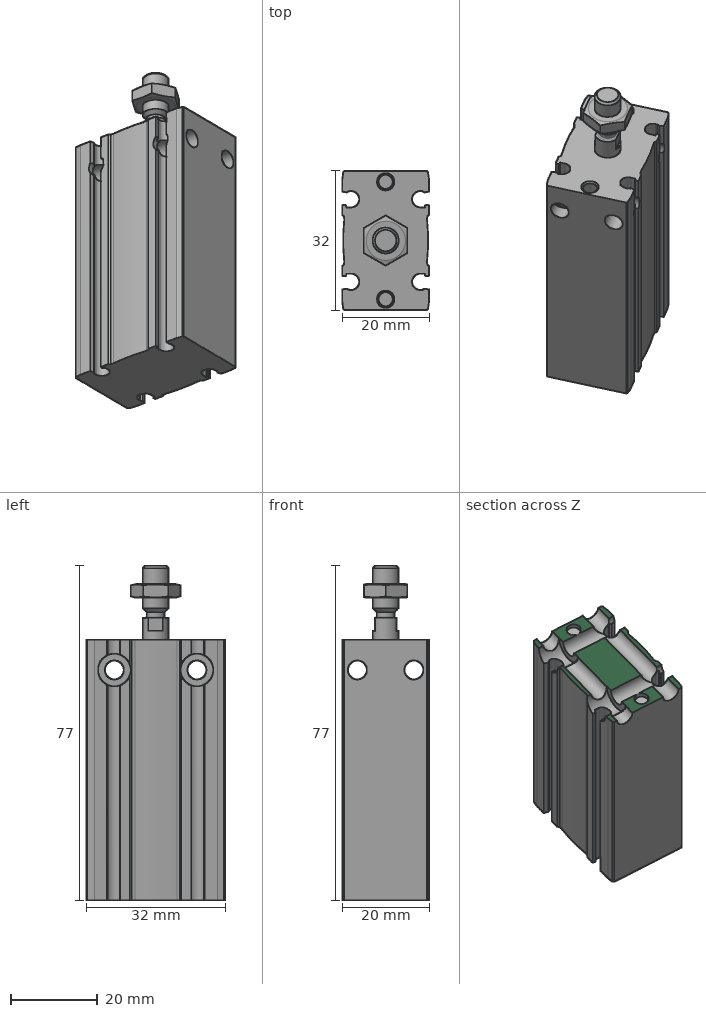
import cadquery as cq
import math

WIDTH = 20.0
DEPTH = 32.0
HEIGHT = 60.0

END_FACE_HALF_WIDTH = 9.5
CORNER_CHAMFER_X = 0.27
CORNER_CHAMFER_Y = 0.3
TAPER_END_Y = 14.15

RIDGE_EDGE_Y = 5.9
RIDGE_FOOT_Y = 5.5
RIDGE_FOOT_X = 9.6
CROWN_EDGE_Y = 4.85
CROWN_EDGE_X = 9.55
CROWN_MIDDLE_X = 9.8

SLOT_Y = 9.5
SLOT_CHANNEL_DIAMETER = 3.7
SLOT_DEPTH = 3.9
INNER_LIP = 0.95
OUTER_LIP = 1.2
OUTER_LIP_BACK = 1.65
MOUTH_INNER_Y = 8.15
MOUTH_OUTER_Y = 11.25
THROAT_INNER_Y = 8.25
THROAT_OUTER_Y = 11.0

CROSS_HOLE_Z = HEIGHT - 7.0
CROSS_HOLE_DIAMETER = 4.3
END_HOLE_X = 6.5
COUNTERBORE_DIAMETER = 7.5
COUNTERBORE_DEPTH = 5.7

TAPPED_HOLE_Y = 13.5
TAPPED_HOLE_DIAMETER = 3.24
TAPPED_HOLE_MOUTH_DIAMETER = 4.0
TAPPED_HOLE_DEPTH = 8.0
COUNTERSINK_ANGLE = 90.0

ROD_DIAMETER = 6.0
ROD_LENGTH = 17.0
SHOULDER_HEIGHT = 5.0
FLATS_BOTTOM = 2.0
FLATS_WIDTH = 5.0
NECK_DIAMETER = 4.13
NECK_FILLET = 0.3
THREAD_START = 7.25
TIP_DIAMETER = 4.92
TIP_CHAMFER = (ROD_DIAMETER - TIP_DIAMETER) / 2

NUT_BOTTOM = 9.6
NUT_THICKNESS = 3.2
NUT_ACROSS_FLATS = 10.0
NUT_FACE_DIAMETER = 9.0
NUT_CHAMFER_ANGLE = 15.0
NUT_TURN = 30.0


def housing_outline():
    half_x = WIDTH / 2
    half_y = DEPTH / 2
    taper_x = END_FACE_HALF_WIDTH + CORNER_CHAMFER_X
    taper_y = half_y - CORNER_CHAMFER_Y
    sketch = cq.Workplane("XY").moveTo(-END_FACE_HALF_WIDTH, -half_y)
    for side in (1, -1):
        sketch = (
            sketch.lineTo(side * END_FACE_HALF_WIDTH, -side * half_y)
            .lineTo(side * taper_x, -side * taper_y)
            .lineTo(side * half_x, -side * TAPER_END_Y)
            .lineTo(side * half_x, -side * RIDGE_EDGE_Y)
            .lineTo(side * RIDGE_FOOT_X, -side * RIDGE_FOOT_Y)
            .lineTo(side * CROWN_EDGE_X, -side * CROWN_EDGE_Y)
            .threePointArc((side * CROWN_MIDDLE_X, 0), (side * CROWN_EDGE_X, side * CROWN_EDGE_Y))
            .lineTo(side * RIDGE_FOOT_X, side * RIDGE_FOOT_Y)
            .lineTo(side * half_x, side * RIDGE_EDGE_Y)
            .lineTo(side * half_x, side * TAPER_END_Y)
            .lineTo(side * taper_x, side * taper_y)
            .lineTo(side * END_FACE_HALF_WIDTH, side * half_y)
        )
    return sketch.close()


def sensor_slot(x_side, y_side):
    """Cutter for one slot along the full height; each side is +1 or -1."""
    edge_x = WIDTH / 2
    inner_lip_x = edge_x - INNER_LIP
    outer_lip_x = edge_x - OUTER_LIP
    channel_x = edge_x - SLOT_DEPTH + SLOT_CHANNEL_DIAMETER / 2
    channel = (
        cq.Workplane("XY")
        .center(x_side * channel_x, y_side * SLOT_Y)
        .circle(SLOT_CHANNEL_DIAMETER / 2)
        .extrude(HEIGHT)
    )
    opening_corners = [
        (channel_x, SLOT_Y - SLOT_CHANNEL_DIAMETER / 2),
        (inner_lip_x, SLOT_Y - SLOT_CHANNEL_DIAMETER / 2),
        (inner_lip_x, THROAT_INNER_Y),
        (edge_x, MOUTH_INNER_Y),
        (edge_x, MOUTH_OUTER_Y),
        (outer_lip_x, THROAT_OUTER_Y),
        (edge_x - OUTER_LIP_BACK, SLOT_Y + SLOT_CHANNEL_DIAMETER / 2),
        (channel_x, SLOT_Y + SLOT_CHANNEL_DIAMETER / 2),
    ]
    opening = (
        cq.Workplane("XY")
        .polyline([(x_side * x, y_side * y) for x, y in opening_corners])
        .close()
        .extrude(HEIGHT)
    )
    return channel.union(opening)


def end_hole(x):
    """Plain through hole along Y."""
    return (
        cq.Workplane("XZ", origin=(x, DEPTH / 2, CROSS_HOLE_Z))
        .circle(CROSS_HOLE_DIAMETER / 2)
        .extrude(DEPTH)
    )


def side_hole(y):
    """Through hole along X, counterbored from the -X side."""
    start = cq.Workplane("YZ", origin=(-WIDTH / 2, y, CROSS_HOLE_Z))
    hole = start.circle(CROSS_HOLE_DIAMETER / 2).extrude(WIDTH)
    counterbore = start.circle(COUNTERBORE_DIAMETER / 2).extrude(COUNTERBORE_DEPTH)
    return hole.union(counterbore)


def build_housing():
    body = housing_outline().extrude(HEIGHT)
    for x_side in (-1, 1):
        for y_side in (-1, 1):
            body = body.cut(sensor_slot(x_side, y_side))
    for x in (-END_HOLE_X, END_HOLE_X):
        body = body.cut(end_hole(x))
    for y in (-SLOT_Y, SLOT_Y):
        body = body.cut(side_hole(y))
    return (
        body.faces(">Z")
        .workplane(origin=(0, 0, HEIGHT))
        .pushPoints([(0, -TAPPED_HOLE_Y), (0, TAPPED_HOLE_Y)])
        .cskHole(
            TAPPED_HOLE_DIAMETER,
            TAPPED_HOLE_MOUTH_DIAMETER,
            COUNTERSINK_ANGLE,
            TAPPED_HOLE_DEPTH,
        )
    )


def build_rod():
    radius = ROD_DIAMETER / 2
    neck = NECK_DIAMETER / 2
    cone_height = radius - neck
    fillet_mid = NECK_FILLET * (1 - math.sqrt(0.5))
    rod = (
        cq.Workplane("XZ")
        .lineTo(radius, 0)
        .lineTo(radius, SHOULDER_HEIGHT)
        .lineTo(neck + NECK_FILLET, SHOULDER_HEIGHT)
        .threePointArc(
            (neck + fillet_mid, SHOULDER_HEIGHT + fillet_mid),
            (neck, SHOULDER_HEIGHT + NECK_FILLET),
        )
        .lineTo(neck, THREAD_START - cone_height)
        .lineTo(radius, THREAD_START)
        .lineTo(radius, ROD_LENGTH - TIP_CHAMFER)
        .lineTo(TIP_DIAMETER / 2, ROD_LENGTH)
        .lineTo(0, ROD_LENGTH)
        .close()
        .revolve(360, (0, 0), (0, 1))
    )
    flats_height = SHOULDER_HEIGHT - FLATS_BOTTOM
    for side in (-1, 1):
        flat = (
            cq.Workplane("XY", origin=(side * (FLATS_WIDTH + ROD_DIAMETER) / 2, 0, FLATS_BOTTOM))
            .rect(ROD_DIAMETER, 2 * ROD_DIAMETER)
            .extrude(flats_height)
        )
        rod = rod.cut(flat)
    return rod.translate((0, 0, HEIGHT))


def build_nut():
    corner_radius = NUT_ACROSS_FLATS / math.sqrt(3)
    face_radius = NUT_FACE_DIAMETER / 2
    corner_drop = (corner_radius - face_radius) * math.tan(math.radians(NUT_CHAMFER_ANGLE))
    prism = (
        cq.Workplane("XY")
        .polygon(6, 2 * corner_radius)
        .extrude(NUT_THICKNESS)
        .rotate((0, 0, 0), (0, 0, 1), NUT_TURN)
    )
    envelope = (
        cq.Workplane("XZ")
        .lineTo(face_radius, 0)
        .lineTo(corner_radius, corner_drop)
        .lineTo(corner_radius, NUT_THICKNESS - corner_drop)
        .lineTo(face_radius, NUT_THICKNESS)
        .lineTo(0, NUT_THICKNESS)
        .close()
        .revolve(360, (0, 0), (0, 1))
    )
    bore = cq.Workplane("XY").circle(ROD_DIAMETER / 2).extrude(NUT_THICKNESS)
    return prism.intersect(envelope).cut(bore).translate((0, 0, HEIGHT + NUT_BOTTOM))


housing = build_housing()
rod = build_rod()
nut = build_nut()

result = cq.Compound.makeCompound([housing.val(), rod.val(), nut.val()])